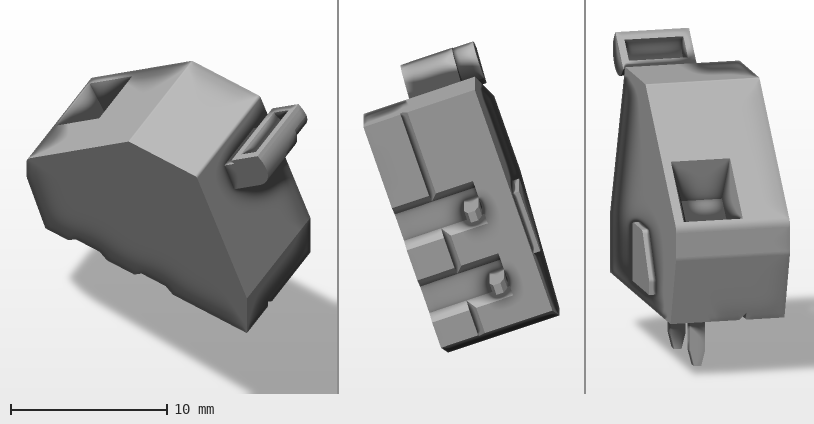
import cadquery as cq
import math

BODY_LENGTH = 16.75
BODY_HEIGHT = 14.35
FOOT_INSET = 1.42
NOSE_BOTTOM_Z = 4.56
NOSE_TOP_Z = 6.59
TOP_RIGHT_X = 12.92
REAR_WALL_HEIGHT = 3.82
NOSE_RADIUS = 0.75
RIDGE_RADIUS = 0.2

COVER_THICKNESS = 2.51
HOUSING_BACK_Y = 7.55
SEAM_CHAMFER_WIDTH = 0.47

PIN_PITCH = 5.0
FIRST_PIN_X = 4.64
PIN_THICKNESS = 0.66
PIN_WIDTH = 1.0
PIN_CENTER_Y = 4.99
PIN_PROJECTION = 3.55
PIN_TIP_WIDTH = 0.49
PIN_TAPER_HEIGHT = 1.0
PIN_SOCKET_DEPTH = 1.95
CHANNEL_HEIGHT = 0.53
CHANNEL_BOTTOM_WIDTH = 2.92
CHANNEL_TOP_WIDTH = 1.83

FUNNEL_START = 0.47
FUNNEL_LENGTH = 4.58
FUNNEL_FRONT_Y = 3.05
FUNNEL_BACK_Y = 6.95
FUNNEL_DEPTH = 2.6
FLOOR_LOWER_INSET = 0.39
FLOOR_UPPER_INSET = 1.4
FLOOR_FRONT_INSET = 0.31
FLOOR_BACK_INSET = 0.92

BOSS_PROJECTION = 0.45
BOSS_LEFT_X = 5.13
BOSS_RIGHT_X = 9.28
BOSS_BOTTOM_Z = 1.11
BOSS_TOP_Z = 4.99
BOSS_LEFT_HEIGHT = 0.94
BOSS_SLOPE_ANGLE = 60.0
BOSS_RADIUS = 0.4
BOSS_RIGHT_RADIUS = 0.14

LEVER_TIP_X = 15.95
LEVER_TIP_Z = BODY_HEIGHT + 1.6
LEVER_THICKNESS = 2.28
LEVER_TIP_FLAT = 0.3
LEVER_LENGTH = 7.02
HEAD_LENGTH = 2.83
HEAD_STEP = 0.3
HEAD_BACK_Y = 7.39
HEAD_SIDE_RADIUS = 1.46
ARM_BACK_Y = 6.0
FINGER_POCKET_RADIUS = 0.8
FINGER_POCKET_FRONT_Y = 3.0
FINGER_POCKET_BACK_Y = 6.9

PIN_XS = [FIRST_PIN_X, FIRST_PIN_X + PIN_PITCH]


def extrude_along_y(outline, start_y, end_y):
    """Extrude a function's outline, drawn in XZ, from start_y to end_y."""
    return outline(cq.Workplane("XZ", origin=(0, start_y, 0))).extrude(start_y - end_y)


def round_y_edges(solid, mid_y, corners):
    """Fillet the edges along Y that pass through the given (x, z, radius) corners."""
    for x, z, radius in corners:
        edge = cq.selectors.NearestToPointSelector((x, mid_y, z))
        solid = solid.edges("|Y").edges(edge).fillet(radius)
    return solid


def body_block(start_y, end_y):
    """Slab with the shared outline of housing and cover."""
    top_left_x = BODY_HEIGHT - NOSE_TOP_Z

    def outline(plane):
        return plane.polyline([
            (FOOT_INSET, 0),
            (0, NOSE_BOTTOM_Z),
            (0, NOSE_TOP_Z),
            (top_left_x, BODY_HEIGHT),
            (TOP_RIGHT_X, BODY_HEIGHT),
            (BODY_LENGTH, REAR_WALL_HEIGHT),
            (BODY_LENGTH, 0),
        ]).close()

    block = extrude_along_y(outline, start_y, end_y)
    mid_y = (start_y + end_y) / 2
    return round_y_edges(block, mid_y, [
        (0, NOSE_BOTTOM_Z, NOSE_RADIUS),
        (0, NOSE_TOP_Z, NOSE_RADIUS),
        (top_left_x, BODY_HEIGHT, RIDGE_RADIUS),
        (TOP_RIGHT_X, BODY_HEIGHT, RIDGE_RADIUS),
    ])


def pin_channel(x, start_y, end_y):
    """Trapezoidal channel in the underside around one pin."""
    def outline(plane):
        return plane.polyline([
            (x - CHANNEL_BOTTOM_WIDTH / 2, 0),
            (x - CHANNEL_TOP_WIDTH / 2, CHANNEL_HEIGHT),
            (x + CHANNEL_TOP_WIDTH / 2, CHANNEL_HEIGHT),
            (x + CHANNEL_BOTTOM_WIDTH / 2, 0),
        ]).close()

    return extrude_along_y(outline, start_y, end_y)


def make_pin(x):
    """Flat solder pin whose lower end narrows in Y."""
    bottom_z = -PIN_PROJECTION
    top_z = CHANNEL_HEIGHT + PIN_SOCKET_DEPTH
    return (
        cq.Workplane("YZ", origin=(x, PIN_CENTER_Y, 0))
        .polyline([
            (-PIN_TIP_WIDTH / 2, bottom_z),
            (PIN_TIP_WIDTH / 2, bottom_z),
            (PIN_WIDTH / 2, bottom_z + PIN_TAPER_HEIGHT),
            (PIN_WIDTH / 2, top_z),
            (-PIN_WIDTH / 2, top_z),
            (-PIN_WIDTH / 2, bottom_z + PIN_TAPER_HEIGHT),
        ])
        .close()
        .extrude(PIN_THICKNESS / 2, both=True)
    )


def lever_plane(start_y):
    """Plane at the lever tip: local x runs toward the tip, local y up through the thickness."""
    return cq.Workplane(
        cq.Plane(origin=(LEVER_TIP_X, start_y, LEVER_TIP_Z), xDir=(1, 0, 1), normal=(0, -1, 0))
    )


def lever_bar(length, back_y):
    """Full-thickness bar with its rounded end, from the cover to back_y."""
    radius = LEVER_THICKNESS - LEVER_TIP_FLAT
    mid_offset = radius * math.sqrt(0.5)
    return (
        lever_plane(COVER_THICKNESS)
        .lineTo(0, -LEVER_TIP_FLAT)
        .threePointArc(
            (mid_offset - radius, -LEVER_TIP_FLAT - mid_offset),
            (-radius, -LEVER_THICKNESS),
        )
        .lineTo(-length, -LEVER_THICKNESS)
        .lineTo(-length, 0)
        .close()
        .extrude(COVER_THICKNESS - back_y)
    )


def lever_trough(radius, front_y, back_y):
    """Half-round trough shape below the top of the head, centred along the head."""
    center = -HEAD_LENGTH / 2
    return (
        lever_plane(front_y)
        .moveTo(center + radius, 0)
        .lineTo(center + radius, -LEVER_TIP_FLAT)
        .threePointArc((center, -LEVER_TIP_FLAT - radius), (center - radius, -LEVER_TIP_FLAT))
        .lineTo(center - radius, 0)
        .close()
        .extrude(front_y - back_y)
    )


def make_lever():
    """Lever: an arm and a raised head that is wider than the arm, with a finger pocket."""
    arm = lever_bar(LEVER_LENGTH, ARM_BACK_Y)
    arm_step = (
        lever_plane(COVER_THICKNESS)
        .moveTo(-LEVER_LENGTH, 0)
        .rect(LEVER_LENGTH - HEAD_LENGTH, -HEAD_STEP, centered=False)
        .extrude(COVER_THICKNESS - ARM_BACK_Y)
    )
    head_underside = lever_trough(HEAD_SIDE_RADIUS, COVER_THICKNESS, HEAD_BACK_Y)
    head = lever_bar(HEAD_LENGTH, HEAD_BACK_Y).intersect(head_underside)
    finger_pocket = lever_trough(FINGER_POCKET_RADIUS, FINGER_POCKET_FRONT_Y, FINGER_POCKET_BACK_Y)
    return arm.cut(arm_step).union(head).cut(finger_pocket)


def funnel_section(depth, lower, upper, front_y, back_y):
    """Rectangle parallel to the slope at a depth; lower and upper run up the slope from the nose corner."""
    up_slope = cq.Vector(1, 0, 1).normalized()
    inward = cq.Vector(1, 0, -1).normalized()
    corners = [(lower, front_y), (upper, front_y), (upper, back_y), (lower, back_y)]
    return cq.Wire.makePolygon(
        [cq.Vector(0, y, NOSE_TOP_Z) + up_slope * along + inward * depth for along, y in corners],
        close=True,
    )


def wire_funnel():
    """Tapered pocket sunk into the slope."""
    funnel_end = FUNNEL_START + FUNNEL_LENGTH
    rim = funnel_section(0, FUNNEL_START, funnel_end, FUNNEL_FRONT_Y, FUNNEL_BACK_Y)
    floor = funnel_section(
        FUNNEL_DEPTH,
        FUNNEL_START + FLOOR_LOWER_INSET,
        funnel_end - FLOOR_UPPER_INSET,
        FUNNEL_FRONT_Y + FLOOR_FRONT_INSET,
        FUNNEL_BACK_Y - FLOOR_BACK_INSET,
    )
    return cq.Workplane(cq.Solid.makeLoft([rim, floor], True))


def coding_boss():
    """Raised boss on the back face, with a steep left shoulder."""
    shoulder_z = BOSS_BOTTOM_Z + BOSS_LEFT_HEIGHT
    top_left_x = BOSS_LEFT_X + (BOSS_TOP_Z - shoulder_z) / math.tan(math.radians(BOSS_SLOPE_ANGLE))

    def outline(plane):
        return plane.polyline([
            (BOSS_LEFT_X, BOSS_BOTTOM_Z),
            (BOSS_LEFT_X, shoulder_z),
            (top_left_x, BOSS_TOP_Z),
            (BOSS_RIGHT_X, BOSS_TOP_Z),
            (BOSS_RIGHT_X, BOSS_BOTTOM_Z),
        ]).close()

    boss = extrude_along_y(outline, HOUSING_BACK_Y, HOUSING_BACK_Y + BOSS_PROJECTION)
    return round_y_edges(boss, HOUSING_BACK_Y + BOSS_PROJECTION / 2, [
        (BOSS_LEFT_X, shoulder_z, BOSS_RADIUS),
        (top_left_x, BOSS_TOP_Z, BOSS_RADIUS),
        (BOSS_RIGHT_X, BOSS_TOP_Z, BOSS_RIGHT_RADIUS),
    ])


def make_cover():
    """Flat cover on the -Y side, notched where the pin channels come out."""
    cover = body_block(0, COVER_THICKNESS)
    for x in PIN_XS:
        cover = cover.cut(pin_channel(x, 0, COVER_THICKNESS))
    return cover


def seam_chamfer():
    """Wedge removed along the lower edge of the housing, next to the cover."""
    return (
        cq.Workplane("YZ")
        .polyline([
            (COVER_THICKNESS, 0),
            (COVER_THICKNESS + SEAM_CHAMFER_WIDTH, 0),
            (COVER_THICKNESS, CHANNEL_HEIGHT),
        ])
        .close()
        .extrude(BODY_LENGTH)
    )


def make_housing(lever, pins):
    """Housing with its boss, wire funnel and channels, and matching seats for the lever and the pins."""
    housing = body_block(COVER_THICKNESS, HOUSING_BACK_Y).union(coding_boss())
    housing = housing.cut(wire_funnel()).cut(seam_chamfer())
    channel_back_y = PIN_CENTER_Y + PIN_WIDTH / 2
    for x in PIN_XS:
        housing = housing.cut(pin_channel(x, COVER_THICKNESS, channel_back_y))
    for seated_body in [lever, *pins]:
        housing = housing.cut(seated_body)
    return housing


cover = make_cover()
lever = make_lever()
pins = [make_pin(x) for x in PIN_XS]
housing = make_housing(lever, pins)

result = cq.Compound.makeCompound(
    [body.solids().val() for body in (housing, cover, lever, *pins)]
)